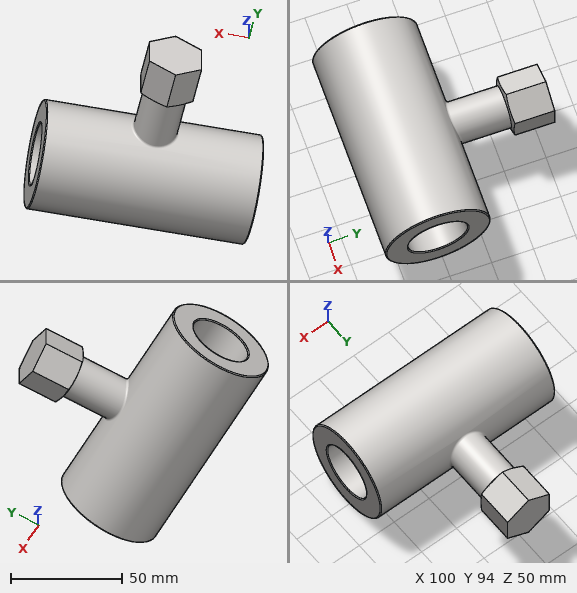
import cadquery as cq
import math

sleeve_length = 100
sleeve_diameter = 50
bore_diameter = 28.5
edge_chamfer = 0.5

branch_diameter = 20
branch_end = 69
junction_fillet = 1

hex_across_flats = 24
hex_length = 20
hex_across_corners = hex_across_flats / math.cos(math.pi / 6)
hex_start = branch_end - hex_length
cone_angle = math.radians(15)


def along_y(start):
    """Plane facing +Y at the given Y, with its local Y pointing along Z."""
    return cq.Workplane(cq.Plane(origin=(0, start, 0), xDir=(-1, 0, 0), normal=(0, 1, 0)))


def make_sleeve():
    blank = cq.Workplane("YZ").circle(sleeve_diameter / 2).extrude(sleeve_length / 2, both=True)
    return blank.faces("<X or >X").chamfer(edge_chamfer)


def make_branch():
    return along_y(0).circle(branch_diameter / 2).extrude(hex_start)


def make_hex_head():
    """Hexagonal prism, corners up and down, with the sleeve-side corners coned off."""
    corners_upright = along_y(hex_start).transformed(rotate=(0, 0, 90))
    prism = corners_upright.polygon(6, hex_across_corners).extrude(hex_length)
    base_radius = branch_diameter / 2
    outer_radius = hex_across_corners / 2
    cone_height = (outer_radius - base_radius) * math.tan(cone_angle)
    envelope = (
        cq.Workplane("XY")
        .moveTo(0, hex_start)
        .lineTo(base_radius, hex_start)
        .lineTo(outer_radius, hex_start + cone_height)
        .lineTo(outer_radius, branch_end)
        .lineTo(0, branch_end)
        .close()
        .revolve(360, (0, 0, 0), (0, 1, 0))
    )
    return prism.intersect(envelope)


def make_bore():
    """Through bore of the sleeve, with a chamfer at each mouth."""
    bore = cq.Workplane("YZ").circle(bore_diameter / 2).extrude(sleeve_length / 2, both=True)
    mouth_radius = bore_diameter / 2 + edge_chamfer
    for side in (-1, 1):
        mouth = cq.Solid.makeCone(
            mouth_radius, mouth_radius - edge_chamfer, edge_chamfer,
            cq.Vector(side * sleeve_length / 2, 0, 0), cq.Vector(-side, 0, 0),
        )
        bore = bore.union(cq.Workplane(mouth))
    return bore


def make_body():
    """Sleeve and branch joined, with a fillet around the foot of the branch."""
    body = make_sleeve().union(make_branch())
    reach = branch_diameter / 2 + junction_fillet
    foot = cq.selectors.BoxSelector(
        (-reach, 0, -reach), (reach, sleeve_diameter / 2 + junction_fillet, reach), boundingbox=True
    )
    return body.edges(foot).fillet(junction_fillet)


result = make_body().union(make_hex_head()).cut(make_bore())